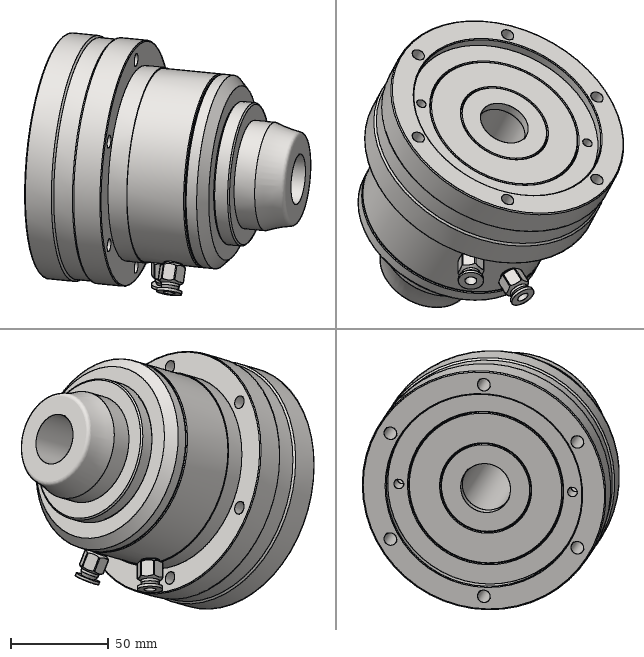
import cadquery as cq
import math


flange_dia = 127.0
flange_length = 41.0
flange_rear_chamfer = 0.6
flange_front_chamfer = 0.5
groove_length = 12.0
groove_depth = 1.0
groove_start = (flange_length - groove_length) / 2
groove_end = groove_start + groove_length

shoulder_dia = 101.0
shoulder_end = 51.0
barrel_dia = 100.0
ring_groove_dia = 99.0
ring_groove_start = 81.3
ring_groove_end = 82.7
housing_end = 93.3
front_bevel = 5.0

recess_dia = 102.0
recess_depth = 5.0
recess_mouth_chamfer = 0.5
housing_wall = 10.0

bolt_count = 6
bolt_circle_dia = 112.5
bolt_hole_dia = 6.6
dowel_circle_dia = 90.5
dowel_hole_dia = 5.0
dowel_hole_depth = 10.0
drill_point_angle = 118.0

rotor_dia = 80.5
collar_dia = 74.0
collar_end = 101.8
collar_chamfer = 0.8
journal_dia = collar_dia - 2 * collar_chamfer
nose_dia = 56.0
nose_end = 127.8
nose_straight_end = nose_end - 15.0
nose_tip_dia = 48.4
nose_tip_fillet = 2.0
nose_waist = 0.5
bore_dia = 26.0

cover_dia = 47.0
cover_thickness = 5.0
joint_chamfer = 0.5

fitting_places = ((56.0, 0.0), (68.4, 30.0))
stem_dia = 9.5
stem_depth = 6.0
hex_across_flats = 12.0
hex_standoff = 0.4
hex_height = 10.3
hex_corner_dia = 13.5
hex_end_dia = 9.5
hex_chamfer_height = 1.4
neck_dia = 9.5
neck_height = 1.4
taper_end_dia = 7.5
taper_height = 1.9
button_dia = 13.0
button_height = 1.5
tube_bore_dia = 6.0

rotor_end = housing_end - housing_wall
cover_end = recess_depth + cover_thickness
barrel_radius = barrel_dia / 2
hex_base = barrel_radius + hex_standoff


def revolve_about_x(outline):
    """Turn a closed half outline, drawn as (x, radius), into a solid about X."""
    return outline.close().revolve(360, (0, 0, 0), (1, 0, 0))


def rod_along_x(diameter, start, length):
    return cq.Workplane("YZ", origin=(start, 0, 0)).circle(diameter / 2).extrude(length)


def at_fitting_place(shape, x, angle):
    """Move a shape built along -Z from the axis to its place on the barrel."""
    return shape.rotate((0, 0, 0), (1, 0, 0), -angle).translate((x, 0, 0))


def housing_outside():
    flange_radius = flange_dia / 2
    groove_radius = flange_radius - groove_depth
    ring_groove_radius = ring_groove_dia / 2
    ring_groove_depth = barrel_radius - ring_groove_radius
    outline = (
        cq.Workplane("XY")
        .moveTo(0, 0)
        .lineTo(0, flange_radius - flange_rear_chamfer)
        .lineTo(flange_rear_chamfer, flange_radius)
        .lineTo(groove_start, flange_radius)
        .lineTo(groove_start + groove_depth, groove_radius)
        .lineTo(groove_end - groove_depth, groove_radius)
        .lineTo(groove_end, flange_radius)
        .lineTo(flange_length - flange_front_chamfer, flange_radius)
        .lineTo(flange_length, flange_radius - flange_front_chamfer)
        .lineTo(flange_length, shoulder_dia / 2)
        .lineTo(shoulder_end, shoulder_dia / 2)
        .lineTo(shoulder_end, barrel_radius)
        .lineTo(ring_groove_start, barrel_radius)
        .lineTo(ring_groove_start + ring_groove_depth, ring_groove_radius)
        .lineTo(ring_groove_end - ring_groove_depth, ring_groove_radius)
        .lineTo(ring_groove_end, barrel_radius)
        .lineTo(housing_end - front_bevel, barrel_radius)
        .lineTo(housing_end, barrel_radius - front_bevel)
        .lineTo(housing_end, 0)
    )
    return revolve_about_x(outline)


def housing_cavity():
    """Rear recess with a chamfered mouth, rotor chamber with a chamfered mouth, and journal opening."""
    rotor_radius = rotor_dia / 2
    outline = (
        cq.Workplane("XY")
        .moveTo(0, 0)
        .lineTo(0, recess_dia / 2 + recess_mouth_chamfer)
        .lineTo(recess_mouth_chamfer, recess_dia / 2)
        .lineTo(recess_depth, recess_dia / 2)
        .lineTo(recess_depth, rotor_radius + joint_chamfer)
        .lineTo(recess_depth + joint_chamfer, rotor_radius)
        .lineTo(rotor_end, rotor_radius)
        .lineTo(rotor_end, journal_dia / 2)
        .lineTo(housing_end, journal_dia / 2)
        .lineTo(housing_end, 0)
    )
    return revolve_about_x(outline)


def bolt_holes():
    return (
        cq.Workplane("YZ")
        .polarArray(bolt_circle_dia / 2, 90, 360, bolt_count)
        .circle(bolt_hole_dia / 2)
        .extrude(flange_length)
    )


def dowel_holes():
    """Two blind holes in the recess floor with conical drill points."""
    radius = dowel_hole_dia / 2
    point_height = radius / math.tan(math.radians(drill_point_angle / 2))
    bottom = recess_depth + dowel_hole_depth
    hole = revolve_about_x(
        cq.Workplane("XY")
        .moveTo(recess_depth, 0)
        .lineTo(recess_depth, radius)
        .lineTo(bottom, radius)
        .lineTo(bottom + point_height, 0)
    )
    offset = dowel_circle_dia / 2
    return hole.translate((0, offset, 0)).union(hole.translate((0, -offset, 0)))


def fitting_rod(diameter, inner_radius, outer_radius):
    """Round rod pointing straight down, between two distances from the X axis."""
    rod = cq.Workplane("XY", origin=(0, 0, -inner_radius))
    return rod.circle(diameter / 2).extrude(inner_radius - outer_radius)


def make_housing():
    housing = housing_outside().cut(housing_cavity()).cut(bolt_holes()).cut(dowel_holes())
    stem_hole = fitting_rod(stem_dia, barrel_radius - stem_depth, hex_base)
    for x, angle in fitting_places:
        housing = housing.cut(at_fitting_place(stem_hole, x, angle))
    return housing


def make_spindle():
    rotor_radius = rotor_dia / 2
    collar_radius = collar_dia / 2
    nose_radius = nose_dia / 2
    tip_radius = nose_tip_dia / 2
    waist_x = (nose_straight_end + nose_end) / 2
    waist_radius = (nose_radius + tip_radius) / 2 - nose_waist
    body = revolve_about_x(
        cq.Workplane("XY")
        .moveTo(recess_depth, 0)
        .lineTo(recess_depth, rotor_radius - joint_chamfer)
        .lineTo(recess_depth + joint_chamfer, rotor_radius)
        .lineTo(rotor_end, rotor_radius)
        .lineTo(rotor_end, journal_dia / 2)
        .lineTo(housing_end, journal_dia / 2)
        .lineTo(housing_end + collar_chamfer, collar_radius)
        .lineTo(collar_end - collar_chamfer, collar_radius)
        .lineTo(collar_end, collar_radius - collar_chamfer)
        .lineTo(collar_end, nose_radius)
        .lineTo(nose_straight_end, nose_radius)
        .threePointArc((waist_x, waist_radius), (nose_end, tip_radius))
        .lineTo(nose_end, 0)
    )
    body = body.faces(">X").edges().fillet(nose_tip_fillet)
    cover_seat = revolve_about_x(
        cq.Workplane("XY")
        .moveTo(recess_depth, 0)
        .lineTo(recess_depth, cover_dia / 2 + joint_chamfer)
        .lineTo(recess_depth + joint_chamfer, cover_dia / 2)
        .lineTo(cover_end, cover_dia / 2)
        .lineTo(cover_end, 0)
    )
    return body.cut(cover_seat).cut(rod_along_x(bore_dia, recess_depth, nose_end))


def make_cover():
    disc = rod_along_x(cover_dia, recess_depth, cover_thickness)
    disc = disc.faces("<X").edges().chamfer(joint_chamfer)
    return disc.cut(rod_along_x(bore_dia, recess_depth, cover_thickness))


def fitting_hex():
    """Hexagon with corners along X, its corners turned down and both ends bevelled."""
    hex_end = hex_base + hex_height
    point_to_point = hex_across_flats / math.cos(math.radians(30))
    prism = cq.Workplane("XY", origin=(0, 0, -hex_end)).polygon(6, point_to_point).extrude(hex_height)
    turned = (
        cq.Workplane("XZ")
        .moveTo(0, -hex_base)
        .lineTo(hex_end_dia / 2, -hex_base)
        .lineTo(hex_corner_dia / 2, -hex_base - hex_chamfer_height)
        .lineTo(hex_corner_dia / 2, -hex_end + hex_chamfer_height)
        .lineTo(hex_end_dia / 2, -hex_end)
        .lineTo(0, -hex_end)
        .close()
        .revolve(360, (0, 0, 0), (0, 1, 0))
    )
    return prism.intersect(turned)


def make_fitting(x, angle):
    hex_end = hex_base + hex_height
    neck_end = hex_end + neck_height
    taper_end = neck_end + taper_height
    button_end = taper_end + button_height
    head = (
        cq.Workplane("XZ")
        .moveTo(0, -hex_end)
        .lineTo(neck_dia / 2, -hex_end)
        .lineTo(neck_dia / 2, -neck_end)
        .lineTo(taper_end_dia / 2, -taper_end)
        .lineTo(button_dia / 2, -taper_end)
        .lineTo(button_dia / 2, -button_end)
        .lineTo(0, -button_end)
        .close()
        .revolve(360, (0, 0, 0), (0, 1, 0))
    )
    stem = fitting_rod(stem_dia, barrel_radius - stem_depth, hex_base)
    fitting = stem.union(fitting_hex()).union(head)
    tube_bore = fitting_rod(tube_bore_dia, barrel_radius - stem_depth, button_end)
    return at_fitting_place(fitting.cut(tube_bore), x, angle)


housing = make_housing()
spindle = make_spindle()
cover = make_cover()
fittings = [make_fitting(x, angle) for x, angle in fitting_places]

result = cq.Compound.makeCompound(
    [housing.val(), spindle.val(), cover.val(), *[fitting.val() for fitting in fittings]]
)